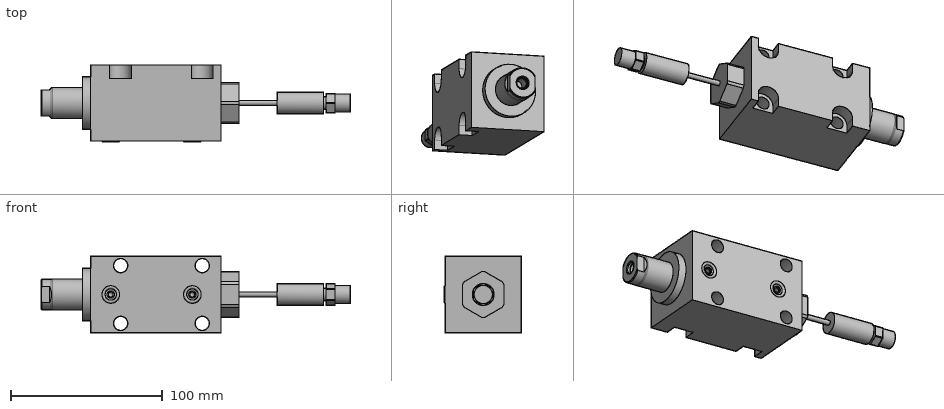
import cadquery as cq

total_length = 203.8

nose_length = 6.5
nose_cone_length = 1.0
barrel_end = 27.1
flange_length = 5.5
block_length = 86.0
large_nut_length = 11.8
cable_length = 25.0
sleeve_length = 30.8
neck_length = 1.6
small_nut_length = 6.0

block_depth = 50.3
block_height = 50.8

nose_diameter = 20.4
barrel_diameter = 20.5
flange_diameter = 34.9
cable_diameter = 3.5
sleeve_diameter = 14.5
neck_diameter = 8.4
tip_diameter = 12.0

large_nut_flats = 27.1
large_nut_round = 30.2
small_nut_flats = 12.8
small_nut_round = 14.5

nose_chamfer = 0.6
wrench_flats = 17.3
wrench_flat_length = 5.3
bore_mouth_diameter = 9.0
bore_entry_diameter = 7.7
bore_entry_depth = 2.2
bore_diameter = 6.5
bore_depth = 12.2

hole_diameter = 9.2
hole_pitch_x = 53.8
hole_pitch_z = 38.1
first_hole_offset = 19.8
head_slot_width = 14.5
head_slot_depth = 9.0

port_offset_from_hole = -6.5
port_diameter = 4.9
port_entry_depth = 1.0
port_inner_diameter = 3.3
port_inner_depth = 4.0
port_tip_length = 1.0
seal_seat_depth = 0.8
seal_outer_radius = 6.0
seal_section_radius = 1.1
seal_protrusion = 0.6
seal_seat_overlap = 0.1

barrel_start = nose_length + nose_cone_length
block_start = barrel_end + flange_length
block_end = block_start + block_length
cable_start = block_end + large_nut_length
sleeve_start = cable_start + cable_length
neck_start = sleeve_start + sleeve_length
small_nut_start = neck_start + neck_length
tip_start = small_nut_start + small_nut_length
front_y = -block_depth / 2
back_y = block_depth / 2
hole_columns = [block_start + first_hole_offset + i * hole_pitch_x for i in range(2)]


def plane_across_x(x):
    """Plane at x facing +X, with its local axes along Y and Z."""
    return cq.Workplane("YZ", origin=(x, 0, 0))


def plane_facing_back(y):
    """Plane at y facing +Y, with its local axes along Z and X."""
    return cq.Workplane("ZX", origin=(0, y, 0))


def round_stage(start, length, diameter):
    return plane_across_x(start).circle(diameter / 2).extrude(length)


def hex_nut(start, length, across_flats, round_diameter):
    """Hexagon with flats on the +Y and -Y sides and its corners trimmed round."""
    hexagon = plane_across_x(start).polygon(6, across_flats, circumscribed=True).extrude(length)
    return hexagon.intersect(round_stage(start, length, round_diameter))


def nose():
    """Chamfered end with two wrench flats, their sloped run-outs and a cone up to the barrel."""
    radius = nose_diameter / 2
    body = (
        cq.Workplane("XY")
        .moveTo(0, 0)
        .lineTo(0, radius - nose_chamfer)
        .lineTo(nose_chamfer, radius)
        .lineTo(nose_length, radius)
        .lineTo(barrel_start, barrel_diameter / 2)
        .lineTo(barrel_start, 0)
        .close()
        .revolve(360, (0, 0, 0), (1, 0, 0))
    )
    flat_y = wrench_flats / 2
    cut_y = barrel_diameter / 2
    run_out = cut_y - flat_y
    flat_cut = (
        cq.Workplane("XY")
        .moveTo(0, flat_y)
        .lineTo(wrench_flat_length, flat_y)
        .lineTo(wrench_flat_length + run_out, cut_y)
        .lineTo(0, cut_y)
        .close()
        .extrude(barrel_diameter / 2, both=True)
    )
    return body.cut(flat_cut).cut(flat_cut.mirror("XZ"))


def nose_bore():
    """Blind bore with a 45 degree countersunk mouth and a short, wider entry."""
    mouth_depth = (bore_mouth_diameter - bore_entry_diameter) / 2
    return (
        cq.Workplane("XY")
        .moveTo(0, 0)
        .lineTo(0, bore_mouth_diameter / 2)
        .lineTo(mouth_depth, bore_entry_diameter / 2)
        .lineTo(bore_entry_depth, bore_entry_diameter / 2)
        .lineTo(bore_entry_depth, bore_diameter / 2)
        .lineTo(bore_depth, bore_diameter / 2)
        .lineTo(bore_depth, 0)
        .close()
        .revolve(360, (0, 0, 0), (1, 0, 0))
    )


def mounting_hole(x, side):
    """Through hole along Y, with its head slot in the back; side is +1 for top, -1 for bottom."""
    z = side * hole_pitch_z / 2
    edge_z = side * block_height / 2
    slot_y = back_y - head_slot_depth
    hole = plane_facing_back(front_y).center(z, x).circle(hole_diameter / 2).extrude(block_depth)
    slot_end = plane_facing_back(slot_y).center(z, x).circle(head_slot_width / 2).extrude(head_slot_depth)
    slot_mouth = (
        plane_facing_back(slot_y)
        .center((z + edge_z) / 2, x)
        .rect(abs(edge_z - z), head_slot_width)
        .extrude(head_slot_depth)
    )
    return hole.union(slot_end).union(slot_mouth)


def port_cavity(x):
    """Stepped blind port with a conical bottom, entering from the seat floor towards +Y."""
    floor_y = front_y + seal_seat_depth
    step_y = floor_y + port_entry_depth
    cone_y = step_y + port_inner_depth
    entry_edge = x + port_diameter / 2
    inner_edge = x + port_inner_diameter / 2
    return (
        cq.Workplane("XY")
        .moveTo(x, floor_y)
        .lineTo(entry_edge, floor_y)
        .lineTo(entry_edge, step_y)
        .lineTo(inner_edge, step_y)
        .lineTo(inner_edge, cone_y)
        .lineTo(x, cone_y + port_tip_length)
        .close()
        .revolve(360, (x, 0, 0), (x, 1, 0))
    )


def add_sealed_port(body, x):
    """Port in a round seat, with a seal ring standing slightly proud of the front face."""
    ring_y = front_y - seal_protrusion + seal_section_radius
    ring_radius = seal_outer_radius - seal_section_radius
    seat_radius = seal_outer_radius - seal_seat_overlap
    seat = plane_facing_back(front_y).center(0, x).circle(seat_radius).extrude(seal_seat_depth)
    ring = cq.Workplane(
        cq.Solid.makeTorus(ring_radius, seal_section_radius, cq.Vector(x, ring_y, 0), cq.Vector(0, 1, 0))
    )
    return body.cut(seat).cut(port_cavity(x)).union(ring)


block = plane_across_x(block_start).rect(block_depth, block_height).extrude(block_length)
for column in hole_columns:
    for side in (1, -1):
        block = block.cut(mounting_hole(column, side))
    block = add_sealed_port(block, column + port_offset_from_hole)

stages = [
    nose(),
    round_stage(barrel_start, barrel_end - barrel_start, barrel_diameter),
    round_stage(barrel_end, flange_length, flange_diameter),
    hex_nut(block_end, large_nut_length, large_nut_flats, large_nut_round),
    round_stage(cable_start, cable_length, cable_diameter),
    round_stage(sleeve_start, sleeve_length, sleeve_diameter),
    round_stage(neck_start, neck_length, neck_diameter),
    hex_nut(small_nut_start, small_nut_length, small_nut_flats, small_nut_round),
    round_stage(tip_start, total_length - tip_start, tip_diameter),
]
result = block
for stage in stages:
    result = result.union(stage)
result = result.cut(nose_bore())